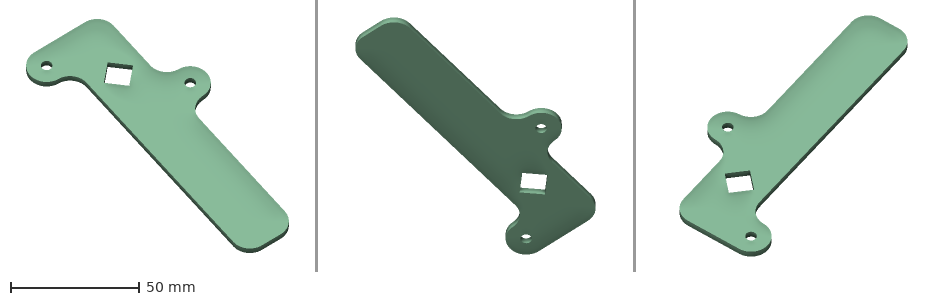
import cadquery as cq
import math

length = 128.0
thickness = 3.0
blade_width = 25.0
lug_diameter = 16.0
upper_lug_x = 48.0
hole_diameter = 4.5
square_side = 10.0

radius = lug_diameter / 2

lower_lug = (radius, radius)
upper_lug = (upper_lug_x, upper_lug_x)

square_centre = (lower_lug[0] + upper_lug[0]) / 2
blade_bottom = square_centre - blade_width / 2
blade_top = square_centre + blade_width / 2

blend_dy = blade_top + radius - upper_lug[1]
blend_dx = math.sqrt((2 * radius) ** 2 - blend_dy ** 2)
meet_dx = blend_dx / 2
meet_dy = blend_dy / 2


def plate():
    """Blade with two lugs; every arc is tangent to the edge before it."""
    outline = (
        cq.Workplane("XY")
        .moveTo(radius, blade_top)
        .lineTo(upper_lug[0] - blend_dx, blade_top)
        .tangentArcPoint((upper_lug[0] - meet_dx, upper_lug[1] + meet_dy), relative=False)
        .tangentArcPoint((upper_lug[0] + meet_dx, upper_lug[1] + meet_dy), relative=False)
        .tangentArcPoint((upper_lug[0] + blend_dx, blade_top), relative=False)
        .lineTo(length - radius, blade_top)
        .tangentArcPoint((length, blade_top - radius), relative=False)
        .lineTo(length, blade_bottom + radius)
        .tangentArcPoint((length - radius, blade_bottom), relative=False)
        .lineTo(lower_lug[0] + blend_dx, blade_bottom)
        .tangentArcPoint((lower_lug[0] + meet_dx, lower_lug[1] - meet_dy), relative=False)
        .tangentArcPoint((0, lower_lug[1]), relative=False)
        .lineTo(0, blade_top - radius)
        .tangentArcPoint((radius, blade_top), relative=False)
        .close()
    )
    return outline.extrude(thickness)


def lug_holes():
    return (
        cq.Workplane("XY")
        .pushPoints([lower_lug, upper_lug])
        .circle(hole_diameter / 2)
        .extrude(thickness)
    )


def square_hole():
    """Square through hole standing on its corner."""
    return (
        cq.Workplane("XY")
        .center(square_centre, square_centre)
        .transformed(rotate=(0, 0, 45))
        .rect(square_side, square_side)
        .extrude(thickness)
    )


result = plate().cut(lug_holes()).cut(square_hole())